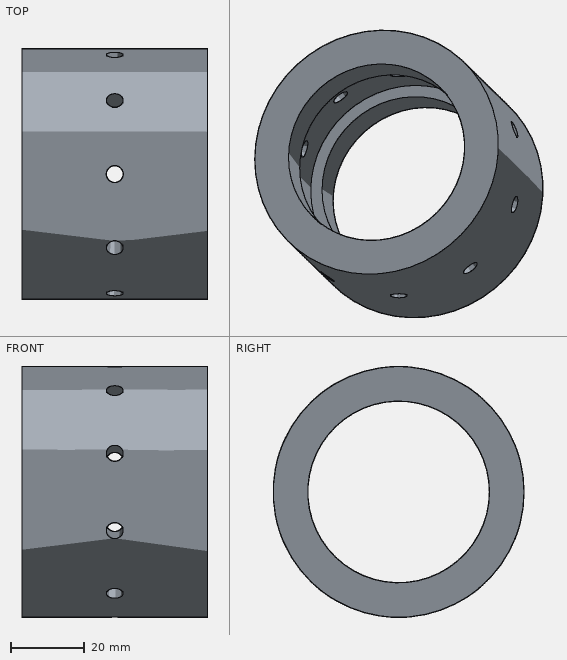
import cadquery as cq

length = 50.8
outer_diameter = 68.58
channel_diameter = 55.88
bore_diameter = 49.53
lip_length = 12.7
hole_diameter = 4.55
hole_count = 10

outer_radius = outer_diameter / 2
bore_radius = bore_diameter / 2
channel_length = length - 2 * lip_length
hole_pitch_angle = 360 / hole_count
hole_clearance = 1.0


def cylinder_along_x(diameter, height):
    """Solid cylinder on the X axis, centred on the origin."""
    start_plane = cq.Workplane("YZ", origin=(-height / 2, 0, 0))
    return start_plane.circle(diameter / 2).extrude(height)


def radial_hole(angle):
    """Hole cutter through the wall at mid length, turned from +Z about the X axis."""
    start_height = bore_radius
    end_height = outer_radius + hole_clearance
    start_plane = cq.Workplane("XY", origin=(0, 0, start_height))
    cutter = start_plane.circle(hole_diameter / 2).extrude(end_height - start_height)
    return cutter.rotate((0, 0, 0), (1, 0, 0), angle)


sleeve = cylinder_along_x(outer_diameter, length)
sleeve = sleeve.cut(cylinder_along_x(bore_diameter, length))
sleeve = sleeve.cut(cylinder_along_x(channel_diameter, channel_length))

for index in range(hole_count):
    sleeve = sleeve.cut(radial_hole(index * hole_pitch_angle))

result = sleeve